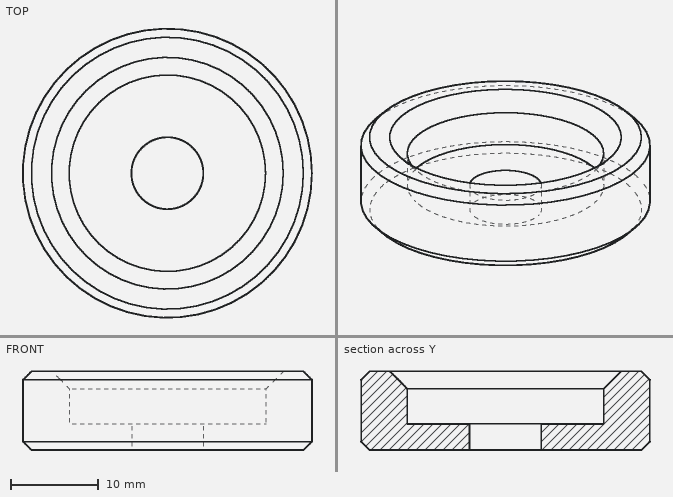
import cadquery as cq

outer_diameter = 33.0
height = 9.0
edge_chamfer = 1.0

recess_diameter = 22.4
recess_depth = 6.0
flare = 2.0
hole_diameter = 8.2

body = cq.Workplane("XY").circle(outer_diameter / 2).extrude(height)
body = body.faces("<Z or >Z").edges().chamfer(edge_chamfer)

recess_radius = recess_diameter / 2
floor_height = height - recess_depth
recess = (
    cq.Workplane("XZ")
    .moveTo(0, floor_height)
    .lineTo(recess_radius, floor_height)
    .lineTo(recess_radius, height - flare)
    .lineTo(recess_radius + flare, height)
    .lineTo(0, height)
    .close()
    .revolve(360, (0, 0, 0), (0, 1, 0))
)

hole = cq.Workplane("XY").circle(hole_diameter / 2).extrude(height)

result = body.cut(recess).cut(hole)